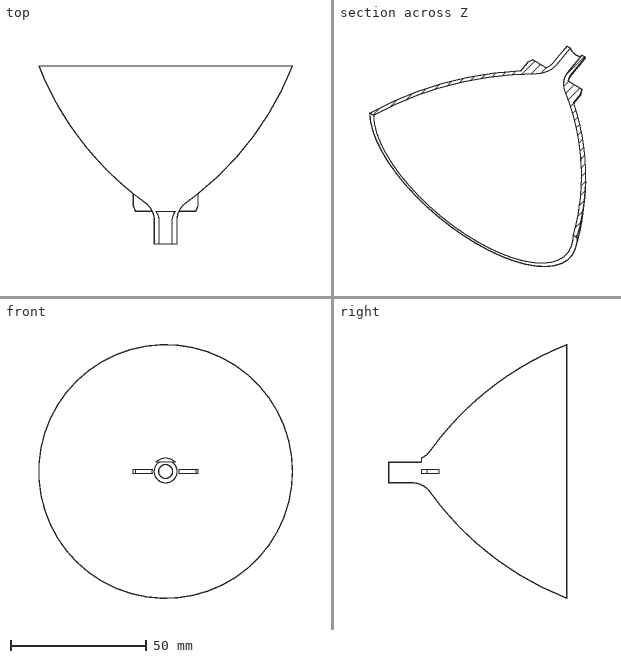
import cadquery as cq
import math

length = 66.0
rim_radius = 47.0
wall = 1.7

bowl_arc_radius = 113.7
shoulder_radius = 7.6
shoulder_y = 15.3
spout_radius = 4.2

flat_height = 3.5
flat_length = 12.1

tab_half_span = 12.0
tab_thickness = 1.5
tab_corner_width = 0.8
tab_corner_length = 2.1

chord_r = rim_radius - shoulder_radius
chord_y = length - shoulder_y
chord = math.hypot(chord_r, chord_y)
centre_distance = math.sqrt(bowl_arc_radius**2 - (chord / 2) ** 2)
bowl_centre_r = (rim_radius + shoulder_radius) / 2 - centre_distance * chord_y / chord
bowl_centre_y = (length + shoulder_y) / 2 + centre_distance * chord_r / chord

shoulder_angle = math.acos((shoulder_radius - bowl_centre_r) / bowl_arc_radius)
neck_arc_radius = (shoulder_radius - spout_radius) / (1 - math.cos(shoulder_angle))
neck_centre_r = spout_radius + neck_arc_radius
neck_centre_y = shoulder_y - neck_arc_radius * math.sin(shoulder_angle)


def bowl_point(radius, angle):
    """Point (r, y) on a bowl arc, with the angle measured from +r towards the tip."""
    return (
        bowl_centre_r + radius * math.cos(angle),
        bowl_centre_y - radius * math.sin(angle),
    )


def neck_point(radius, angle):
    """Point (r, y) on a neck arc, with the angle measured from -r towards the rim."""
    return (
        neck_centre_r - radius * math.cos(angle),
        neck_centre_y + radius * math.sin(angle),
    )


def revolved_body(inset):
    """Solid of revolution whose side lies `inset` inside the outer surface."""
    bowl_r = bowl_arc_radius - inset
    neck_r = neck_arc_radius + inset
    rim_angle = math.asin((bowl_centre_y - length) / bowl_r)
    middle_angle = (rim_angle + shoulder_angle) / 2
    return (
        cq.Workplane("XY")
        .lineTo(spout_radius - inset, 0)
        .lineTo(*neck_point(neck_r, 0))
        .threePointArc(neck_point(neck_r, shoulder_angle / 2), neck_point(neck_r, shoulder_angle))
        .threePointArc(bowl_point(bowl_r, middle_angle), bowl_point(bowl_r, rim_angle))
        .lineTo(0, length)
        .close()
        .revolve(360, (0, 0, 0), (0, 1, 0))
    )


def tab_plate():
    """Plate across the neck, with its two corners nearest the tip cut back."""
    end_half_span = tab_half_span - tab_corner_width
    corner_y = flat_length + tab_corner_length
    return (
        cq.Workplane("XY")
        .polyline([
            (-end_half_span, flat_length),
            (end_half_span, flat_length),
            (tab_half_span, corner_y),
            (tab_half_span, length / 2),
            (-tab_half_span, length / 2),
            (-tab_half_span, corner_y),
        ])
        .close()
        .extrude(tab_thickness / 2, both=True)
    )


def spout_flat():
    """Block removed above the flat of the spout."""
    return cq.Workplane("XY").box(
        2 * spout_radius, flat_length, spout_radius, centered=(True, False, False)
    ).translate((0, 0, flat_height))


outer = revolved_body(0)
inner = revolved_body(wall)
result = outer.union(tab_plate()).cut(spout_flat()).cut(inner)